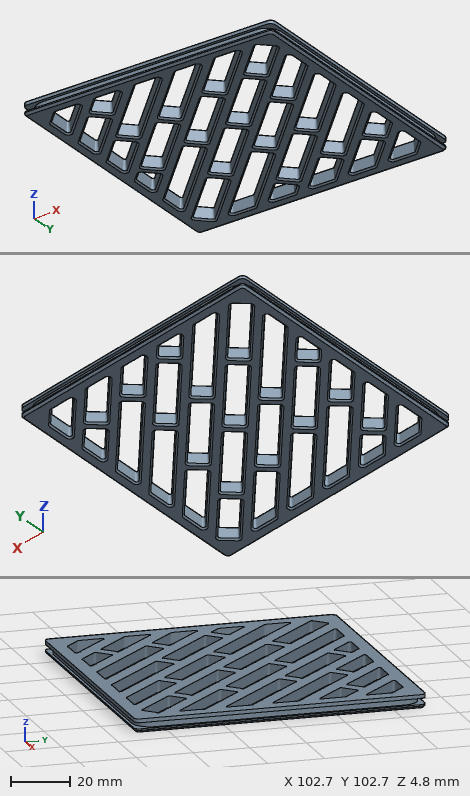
import cadquery as cq
import math

side = 102.7
height = 4.8
rim_radius = 2.0

groove_depth = 1.1
groove_radius = 6.3
rim_height = 1.3
rim_chamfer = 0.8

frame_width = 5.0
window = side - 2 * frame_width
rows_each_side = 5
outer_row_offset = 58.3
row_pitch = outer_row_offset / rows_each_side
slot_width = 6.8
slot_radius = 0.5
slot_draft = 5.0
slot_chamfer = 0.6
longest_row = 123.7
row_angle = -45.0

bar_width = 4.2
bar_pitch = 35.5
even_row_bar = 4.1
odd_row_bar = -10.8
bars_each_side = 1
bar_edge_clearance = 6.2


def rounded_square(width, depth, radius, bottom):
    """Square block with rounded vertical edges."""
    block = cq.Workplane("XY").workplane(offset=bottom).rect(width, width).extrude(depth)
    return block.edges("|Z").fillet(radius)


def grooved_plate():
    """Two rims with a narrower core between them, bevelled around the bottom."""
    lower_rim = rounded_square(side, rim_height, rim_radius, 0)
    lower_rim = lower_rim.faces("<Z").edges().chamfer(rim_chamfer)
    core_width = side - 2 * groove_depth
    core = rounded_square(core_width, height - 2 * rim_height, groove_radius, rim_height)
    upper_rim = rounded_square(side, rim_height, rim_radius, height - rim_height)
    return lower_rim.union(core).union(upper_rim)


def bar_positions(row):
    """Positions along a row of the bars that lie well inside the window."""
    offset = row * row_pitch
    central = even_row_bar if row % 2 == 0 else odd_row_bar
    positions = []
    for step in range(-bars_each_side, bars_each_side + 1):
        along = central + step * bar_pitch
        reach = (abs(along) + abs(offset)) / math.sqrt(2)
        if reach < window / 2 - bar_edge_clearance:
            positions.append(along)
    return positions


def row_openings(row):
    """Straight-sided openings of one row: a strip split by bars and trimmed to the window."""
    offset = row * row_pitch
    strip = cq.Workplane("XY").center(0, offset).rect(longest_row, slot_width).extrude(height)
    for along in bar_positions(row):
        bar = cq.Workplane("XY").center(along, offset).rect(bar_width, slot_width).extrude(height)
        strip = strip.cut(bar)
    strip = strip.rotate((0, 0, 0), (0, 0, 1), row_angle)
    window_block = cq.Workplane("XY").rect(window, window).extrude(height)
    return strip.intersect(window_block).edges("|Z").fillet(slot_radius)


def tapered_slot(top_face):
    """Cutter that starts from an opening in the top face and widens downward."""
    outline = cq.Workplane("XY", origin=(0, 0, height)).add(top_face.outerWire()).toPending()
    return outline.extrude(-height, taper=-slot_draft)


def chamfer_slot_bottoms(grate):
    """Break the lower edges of the slots, leaving the plate's outer edge alone."""
    reach = (window + side) / 4
    inside = cq.selectors.BoxSelector((-reach, -reach, -height), (reach, reach, height))
    return grate.faces("<Z").edges(inside).chamfer(slot_chamfer)


result = grooved_plate()
for row in range(-rows_each_side, rows_each_side + 1):
    for top_face in row_openings(row).faces(">Z").vals():
        result = result.cut(tapered_slot(top_face))
result = chamfer_slot_bottoms(result)